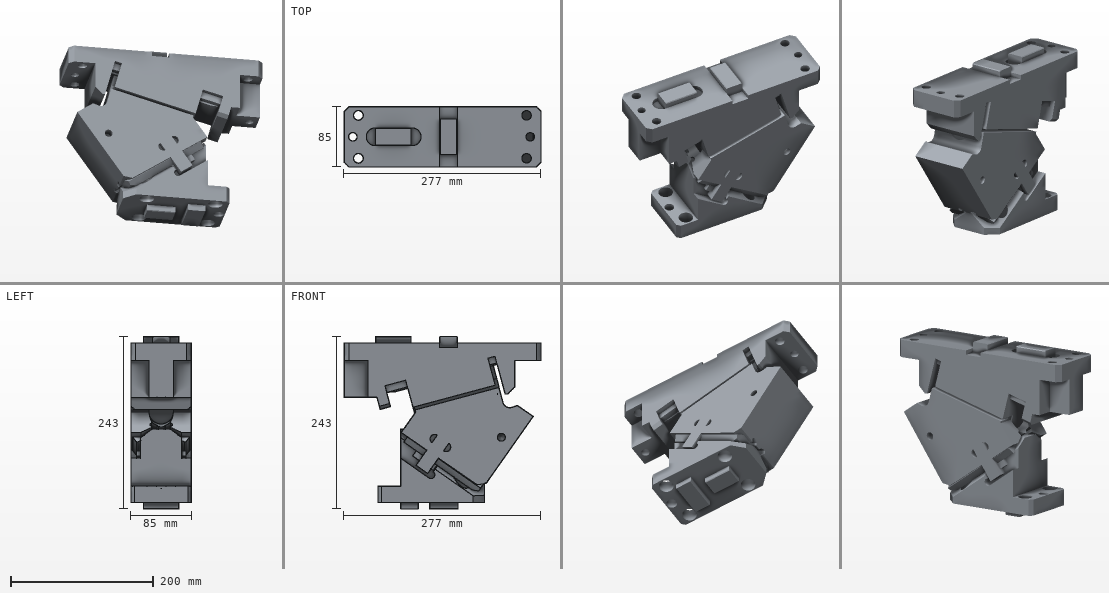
import cadquery as cq
import math

WIDTH = 85.0
HALF = WIDTH / 2
TOTAL_LENGTH = 277.0
TOTAL_HEIGHT = 243.0
KEY_PROUD = 9.1
KEY_LENGTH = 49.9
KEY_WIDTH = 25.0
KEY_CHAMFER = 1.0
LONG = 554.0
OVERRUN = 2.8

UPPER_TILT = math.radians(15)
UPPER_ORIGIN = (99.7, 139.5)
LOWER_TILT = math.radians(-35)
LOWER_ORIGIN = (79.2, 112.5)

PLATE_TOP = TOTAL_HEIGHT - KEY_PROUD
PLATE_THICKNESS = 25.0
PLATE_BOTTOM = PLATE_TOP - PLATE_THICKNESS
PLATE_CHAMFER = 6.6
WEB_BOTTOM = 157.3
LEG_LENGTH = 33.5
LEG_WIDTH = 34.0
GUIDE_RADIUS = LEG_WIDTH / 2
GUIDE_AXIS = -2.8
GUIDE_START = -2.08
UPPER_GAP = 4.5
HOOK_OUTER = -47.5
HOOK_INNER = -32.0
HOOK_TIP = 13.3
HOOK_CHAMFER = 4.7
NOTCH_TOP = 43.8
NOTCH_FILL_TOP = 34.0
NOTCH_FILL_HALF = 35.2
NOTCH_LIP = 31.9
HOOK_LIP_START = -20.2
SLOT_START = 117.7
SLOT_END = 128.0
SLOT_TIP_Z = 161.8
STOP_TIP_X = 230.0
STOP_X = 240.2
STOP_SHOULDER_Z = 172.0
PAD_HALF = 27.0
PAD_END = 122.5
PAD_STEP = 13.0
PAD_STEP_HALF = 22.2
ALONG_KEY_START = 44.3
POCKET_START = 31.0
POCKET_LENGTH = 77.0
POCKET_DEPTH = 6.5
CROSS_KEY_X = 146.8
BOLT_Y = 30.2
PLATE_BOLTS_X = (20.0, 256.5)
PLATE_BOLT_RADIUS = 6.6
PLATE_PINS_X = (12.2, 261.5)
PLATE_PIN_RADIUS = 5.8

BASE_LEFT = 47.5
BASE_RIGHT = 197.5
BASE_BOTTOM = KEY_PROUD
FOOT_TOP = 32.5
WALL_X = LOWER_ORIGIN[0]
RIDGE_HALF = 4.0
ROOF_DATUM_Y = 13.3
ROOF_SLOPE = 0.62
BASE_LEFT_CHAMFER = 5.0
BASE_RIGHT_CHAMFER = 16.0
NOTCH_INNER_Y = 28.8
NOTCH_FLOOR = -33.2
NOTCH_END = 72.0
NOTCH_RELIEF_RADIUS = 5.3
FOOT_BOLTS_X = (66.5, 164.5)
FOOT_BOLT_RADIUS = 10.2
FOOT_PIN_X = 56.2
FOOT_PIN_RADIUS = 7.0
FOOT_PIN_LAND = 3.3
FOOT_PIN_RELIEF_RADIUS = 7.5
BASE_CROSS_KEY_X = 91.7
BASE_ALONG_KEY_START = 120.2
BASE_ALONG_KEY_LENGTH = 40.2

SLIDER_START = 3.3
SLIDER_LEFT_SHOULDER = (100.5, 136.5)
SLIDER_TOP_LENGTH = 122.2
SLIDER_NECK_BOTTOM = -22.0
SLIDER_NECK_FILLET = ((227.7, 144.3), (236.3, 143.5))
SLIDER_RIGHT_CORNERS = ((243.5, 146.0), (266.0, 130.5), (199.7, 36.3), (187.0, 34.3))
SLIDER_BOTTOM = -3.3
GROOVE_OUTER_Y = 28.5
GROOVE_INNER_Y = 12.7
GROOVE_TOP = 5.8
GROOVE_RELIEF = ((16.0, 10.5), (13.3, 13.8), (5.8, 11.0))
GROOVE_CENTER = (4.0, 7.5)
RAIL_START = 14.0
RAIL_END = 140.0
RAIL_ROOT_Y = 40.2
RAIL_TIP_Y = 34.5
RAIL_BOTTOM = -12.2
RAIL_BEVEL_LENGTH = 8.3
RAIL_BEVEL_HEIGHT = 4.2
STRAP_START = 47.0
STRAP_END = 67.0
STRAP_BOTTOM = -29.0
STRAP_INNER_Y = 30.0
BAR_START = 35.5
BAR_END = 71.0
BAR_BOTTOM = -21.0
BAR_INNER_Y = 29.0
BAR_OUTER_Y = 35.0
SCREW_LEVEL = 16.3
SCREW_RADIUS = 6.5
SCREW_DEPTH = 7.0
LIFT_HOLE_X = 221.0
LIFT_HOLE_Z = 101.0
LIFT_HOLE_RADIUS = 5.5
LIFT_HOLE_DEPTH = 13.8
LIFT_HOLE_POINT = 3.3


def from_frame(origin, tilt, along, above):
    """X and Z of a point given in a tilted slide frame."""
    x = origin[0] + along * math.cos(tilt) - above * math.sin(tilt)
    z = origin[1] + along * math.sin(tilt) + above * math.cos(tilt)
    return (x, z)


def upper(along, above):
    return from_frame(UPPER_ORIGIN, UPPER_TILT, along, above)


def lower(along, above):
    return from_frame(LOWER_ORIGIN, LOWER_TILT, along, above)


def upper_box(start, end, bottom, top):
    """Corner points of a rectangle in the upper slide frame."""
    return [upper(start, bottom), upper(end, bottom), upper(end, top), upper(start, top)]


def lower_box(start, end, bottom, top):
    """Corner points of a rectangle in the lower slide frame."""
    return [lower(start, bottom), lower(end, bottom), lower(end, top), lower(start, top)]


def prism(outline, y_from=-HALF, y_to=HALF):
    """Extrude an X-Z outline between two Y positions."""
    plane = cq.Workplane("XZ", origin=(0, y_to, 0))
    return plane.polyline(outline).close().extrude(y_to - y_from)


def slide_section(origin, tilt, start):
    """Workplane across a slide: local x is Y, local y is the height above the slide."""
    x, z = from_frame(origin, tilt, start, 0)
    direction = (math.cos(tilt), 0, math.sin(tilt))
    return cq.Workplane(cq.Plane(origin=(x, 0, z), xDir=(0, 1, 0), normal=direction))


def both_sides(shape):
    """A shape together with its mirror image across the middle plane."""
    return shape.union(shape.mirror("XZ"))


def cylinder(x, y, radius):
    """Tall vertical cylinder for holes through the plates."""
    return cq.Workplane("XY").center(x, y).circle(radius).extrude(LONG)


def block(x_from, x_to, y_size, z_from, z_to):
    """Block centred on the middle plane."""
    size_x = x_to - x_from
    blank = cq.Workplane("XY", origin=(x_from + size_x / 2, 0, z_from))
    return blank.rect(size_x, y_size).extrude(z_to - z_from)


def guide_rail(start, end):
    """Half-round rail of the upper slide, reaching up to the underside of the holder."""
    section = slide_section(UPPER_ORIGIN, UPPER_TILT, start)
    section = section.moveTo(-GUIDE_RADIUS, UPPER_GAP).lineTo(-GUIDE_RADIUS, GUIDE_AXIS)
    section = section.threePointArc((0, GUIDE_AXIS - GUIDE_RADIUS), (GUIDE_RADIUS, GUIDE_AXIS))
    return section.lineTo(GUIDE_RADIUS, UPPER_GAP).close().extrude(end - start)


def roof_level(y):
    """Height of the base roof in the lower slide frame."""
    return -ROOF_SLOPE * (y - ROOF_DATUM_Y)


def holder_body():
    hook_root = upper(HOOK_OUTER, HOOK_TIP)
    hook_slope = math.tan(UPPER_TILT)
    hook_x = hook_root[0] - (WEB_BOTTOM - hook_root[1]) * hook_slope
    slot_tip = upper(SLOT_END, 0)
    slot_tip_x = slot_tip[0] + (slot_tip[1] - SLOT_TIP_Z) * hook_slope
    web = prism([
        (LEG_LENGTH, PLATE_TOP),
        (LEG_LENGTH, WEB_BOTTOM),
        (hook_x, WEB_BOTTOM),
        hook_root,
        upper(HOOK_INNER, HOOK_TIP),
        upper(HOOK_INNER, NOTCH_TOP),
        upper(GUIDE_START, NOTCH_TOP),
        upper(GUIDE_START, UPPER_GAP),
        upper(SLOT_START, UPPER_GAP),
        upper(SLOT_START, NOTCH_TOP),
        upper(SLOT_END, NOTCH_TOP),
        (slot_tip_x, SLOT_TIP_Z),
        (STOP_TIP_X, SLOT_TIP_Z),
        (STOP_X, STOP_SHOULDER_Z),
        (STOP_X, PLATE_TOP),
    ])
    web = web.cut(hook_corner_chamfers())
    plate = block(0, TOTAL_LENGTH, WIDTH, PLATE_BOTTOM, PLATE_TOP)
    plate = plate.edges("|Z").chamfer(PLATE_CHAMFER)
    leg = block(0, LEG_LENGTH, LEG_WIDTH, WEB_BOTTOM, PLATE_TOP)
    body = web.union(plate).union(leg)
    body = body.cut(prism(upper_box(SLOT_START, SLOT_END, UPPER_GAP, NOTCH_TOP)))

    for start, end in ((HOOK_INNER, GUIDE_START), (SLOT_START, SLOT_END)):
        fill = upper_box(start, end, NOTCH_FILL_TOP, NOTCH_TOP)
        body = body.union(prism(fill, -NOTCH_FILL_HALF, NOTCH_FILL_HALF))

    body = body.union(prism(upper_box(SLOT_START, SLOT_END, NOTCH_LIP, NOTCH_FILL_TOP), -PAD_HALF, PAD_HALF))
    hook_lip = [
        upper(HOOK_INNER, NOTCH_FILL_TOP),
        upper(HOOK_LIP_START, NOTCH_LIP),
        upper(GUIDE_START, NOTCH_LIP),
        upper(GUIDE_START, NOTCH_FILL_TOP),
    ]
    body = body.union(prism(hook_lip, -PAD_HALF, PAD_HALF))

    body = body.union(prism(upper_box(0, PAD_END, 0, UPPER_GAP), -PAD_HALF, PAD_HALF))
    body = body.union(prism(upper_box(SLOT_START, PAD_END, 0, PAD_STEP), -PAD_HALF, PAD_HALF))
    pad_top = upper_box(SLOT_START, PAD_END, PAD_STEP, NOTCH_FILL_TOP)
    body = body.union(prism(pad_top, -PAD_STEP_HALF, PAD_STEP_HALF))
    body = body.union(guide_rail(GUIDE_START, SLOT_START))

    for x in PLATE_BOLTS_X:
        for y in (-BOLT_Y, BOLT_Y):
            body = body.cut(cylinder(x, y, PLATE_BOLT_RADIUS))
    for x in PLATE_PINS_X:
        body = body.cut(cylinder(x, 0, PLATE_PIN_RADIUS))
    return add_holder_keys(body)


def hook_corner_chamfers():
    """Wedges that take the two lower corners off the hook tip."""
    section = slide_section(UPPER_ORIGIN, UPPER_TILT, HOOK_OUTER - OVERRUN)
    wedge = section.polyline([
        (HALF, HOOK_TIP),
        (HALF - HOOK_CHAMFER, HOOK_TIP),
        (HALF, HOOK_TIP + HOOK_CHAMFER),
    ]).close().extrude(HOOK_INNER - HOOK_OUTER + 2 * OVERRUN)
    return both_sides(wedge)


def add_holder_keys(body):
    """Key along X in a round-ended pocket and key across Y in a through slot."""
    floor = PLATE_TOP - POCKET_DEPTH
    pocket = cq.Workplane("XY", origin=(POCKET_START + POCKET_LENGTH / 2, 0, floor))
    body = body.cut(pocket.slot2D(POCKET_LENGTH, KEY_WIDTH).extrude(POCKET_DEPTH))
    half_key = KEY_WIDTH / 2
    body = body.cut(block(CROSS_KEY_X - half_key, CROSS_KEY_X + half_key, WIDTH, floor, PLATE_TOP))

    along = block(ALONG_KEY_START, ALONG_KEY_START + KEY_LENGTH, KEY_WIDTH, floor, TOTAL_HEIGHT)
    along = along.faces(">Z").edges("|X").chamfer(KEY_CHAMFER)
    across = block(CROSS_KEY_X - half_key, CROSS_KEY_X + half_key, KEY_LENGTH, floor, TOTAL_HEIGHT)
    across = across.faces(">Z").edges("|Y").chamfer(KEY_CHAMFER)
    return body.union(along).union(across)


def base_body():
    ridge = roof_level(RIDGE_HALF)
    ridge_start = lower(-ridge / math.tan(LOWER_TILT), ridge)
    ridge_drop = (BASE_RIGHT - ridge_start[0]) * math.tan(LOWER_TILT)
    body = prism([
        (BASE_LEFT, BASE_BOTTOM),
        (BASE_RIGHT, BASE_BOTTOM),
        (BASE_RIGHT, ridge_start[1] + ridge_drop),
        ridge_start,
        LOWER_ORIGIN,
        (WALL_X, FOOT_TOP),
        (BASE_LEFT, FOOT_TOP),
    ])
    body = body.edges("|Z and <X").chamfer(BASE_LEFT_CHAMFER)
    body = body.edges("|Z and >X").chamfer(BASE_RIGHT_CHAMFER)
    body = body.cut(roof_cut()).cut(side_notches())

    for x in FOOT_BOLTS_X:
        for y in (-BOLT_Y, BOLT_Y):
            body = body.cut(cylinder(x, y, FOOT_BOLT_RADIUS))
    body = body.cut(cylinder(FOOT_PIN_X, 0, FOOT_PIN_RADIUS))
    pin_relief = cq.Workplane("XY").center(FOOT_PIN_X, 0).circle(FOOT_PIN_RELIEF_RADIUS)
    body = body.cut(pin_relief.extrude(FOOT_TOP - FOOT_PIN_LAND))
    return add_base_keys(body)


def roof_cut():
    """Wedges above the two sloping sides of the roof."""
    edge = HALF + OVERRUN
    ridge = roof_level(RIDGE_HALF)
    section = slide_section(LOWER_ORIGIN, LOWER_TILT, -LONG / 2)
    wedge = section.polyline([
        (RIDGE_HALF, ridge),
        (edge, roof_level(edge)),
        (edge, ridge),
    ]).close().extrude(LONG)
    return both_sides(wedge)


def side_notches():
    """Pockets in both flanks, open at the left wall, for the slider's retaining straps."""
    outline = lower_box(NOTCH_FLOOR, NOTCH_END, NOTCH_FLOOR, 0)
    notch = prism(outline, NOTCH_INNER_Y, HALF)
    relief = cq.Workplane("XZ", origin=(0, HALF, 0))
    relief = relief.pushPoints([lower(NOTCH_END, NOTCH_FLOOR + NOTCH_RELIEF_RADIUS)])
    notch = notch.union(relief.circle(NOTCH_RELIEF_RADIUS).extrude(HALF - NOTCH_INNER_Y))
    return both_sides(notch)


def add_base_keys(body):
    """Key across Y and key along X under the base."""
    half_key = KEY_WIDTH / 2
    across = block(BASE_CROSS_KEY_X - half_key, BASE_CROSS_KEY_X + half_key, KEY_LENGTH, 0, BASE_BOTTOM)
    across = across.faces("<Z").edges("|Y").chamfer(KEY_CHAMFER)
    along_end = BASE_ALONG_KEY_START + BASE_ALONG_KEY_LENGTH
    along = block(BASE_ALONG_KEY_START, along_end, KEY_WIDTH, 0, BASE_BOTTOM)
    along = along.faces("<Z").edges("|X").chamfer(KEY_CHAMFER)
    return body.union(across).union(along)


def slider_body():
    outline = cq.Workplane("XZ", origin=(0, HALF, 0)).moveTo(*UPPER_ORIGIN)
    outline = outline.lineTo(*upper(SLIDER_TOP_LENGTH, 0))
    outline = outline.lineTo(*upper(SLIDER_TOP_LENGTH, SLIDER_NECK_BOTTOM))
    outline = outline.threePointArc(*SLIDER_NECK_FILLET)
    for corner in SLIDER_RIGHT_CORNERS:
        outline = outline.lineTo(*corner)
    outline = outline.lineTo(*lower(SLIDER_START, SLIDER_BOTTOM))
    outline = outline.lineTo(*SLIDER_LEFT_SHOULDER)
    body = outline.close().extrude(WIDTH)

    body = body.cut(guide_rail(-LONG / 2, LONG / 2))
    half_groove = [
        (GROOVE_OUTER_Y, 2 * SLIDER_BOTTOM),
        (GROOVE_OUTER_Y, SLIDER_BOTTOM),
        (GROOVE_INNER_Y, GROOVE_TOP),
        *GROOVE_RELIEF,
        GROOVE_CENTER,
    ]
    other_half = [(-y, level) for y, level in reversed(half_groove)]
    groove = slide_section(LOWER_ORIGIN, LOWER_TILT, -LONG / 2)
    groove = groove.polyline(half_groove + other_half).close().extrude(LONG)
    body = body.cut(groove).union(both_sides(wear_rail()))
    return add_side_details(body)


def wear_rail():
    """Rail that rests on one slope of the roof."""
    contact_y = ROOF_DATUM_Y - RAIL_BOTTOM / ROOF_SLOPE
    rail = slide_section(LOWER_ORIGIN, LOWER_TILT, RAIL_START).polyline([
        (RAIL_ROOT_Y, SLIDER_BOTTOM),
        (RAIL_TIP_Y, RAIL_BOTTOM),
        (contact_y, RAIL_BOTTOM),
        (ROOF_DATUM_Y, 0),
        (ROOF_DATUM_Y, GROOVE_TOP),
        (GROOVE_OUTER_Y, GROOVE_TOP),
    ]).close().extrude(RAIL_END - RAIL_START)
    bevel = prism([
        lower(RAIL_END - RAIL_BEVEL_LENGTH, RAIL_BOTTOM),
        lower(RAIL_END, RAIL_BOTTOM),
        lower(RAIL_END, RAIL_BOTTOM + RAIL_BEVEL_HEIGHT),
    ])
    return rail.cut(bevel)


def add_side_details(body):
    """Screw recesses, retaining straps, bars and lifting holes on both flanks."""
    recesses = cq.Workplane("XZ", origin=(0, HALF, 0))
    recesses = recesses.pushPoints([lower(STRAP_START, SCREW_LEVEL), lower(STRAP_END, SCREW_LEVEL)])
    body = body.cut(both_sides(recesses.circle(SCREW_RADIUS).extrude(SCREW_DEPTH)))

    strap = prism(
        lower_box(STRAP_START, STRAP_END, STRAP_BOTTOM, SCREW_LEVEL + SCREW_RADIUS), STRAP_INNER_Y, HALF)
    bar = prism(lower_box(BAR_START, BAR_END, BAR_BOTTOM, RAIL_BOTTOM), BAR_INNER_Y, BAR_OUTER_Y)
    body = body.union(both_sides(strap.union(bar)))

    mouth = cq.Vector(LIFT_HOLE_X, -HALF, LIFT_HOLE_Z)
    inward = cq.Vector(0, 1, 0)
    drill = cq.Solid.makeCylinder(LIFT_HOLE_RADIUS, LIFT_HOLE_DEPTH, mouth, inward)
    tip = cq.Solid.makeCone(
        LIFT_HOLE_RADIUS, 0, LIFT_HOLE_POINT, mouth + inward * LIFT_HOLE_DEPTH, inward)
    hole = cq.Workplane("XY").add(drill).union(cq.Workplane("XY").add(tip))
    return body.cut(both_sides(hole))


holder = holder_body()
base = base_body()
slider = slider_body()
result = cq.Compound.makeCompound([holder.val(), slider.val(), base.val()])